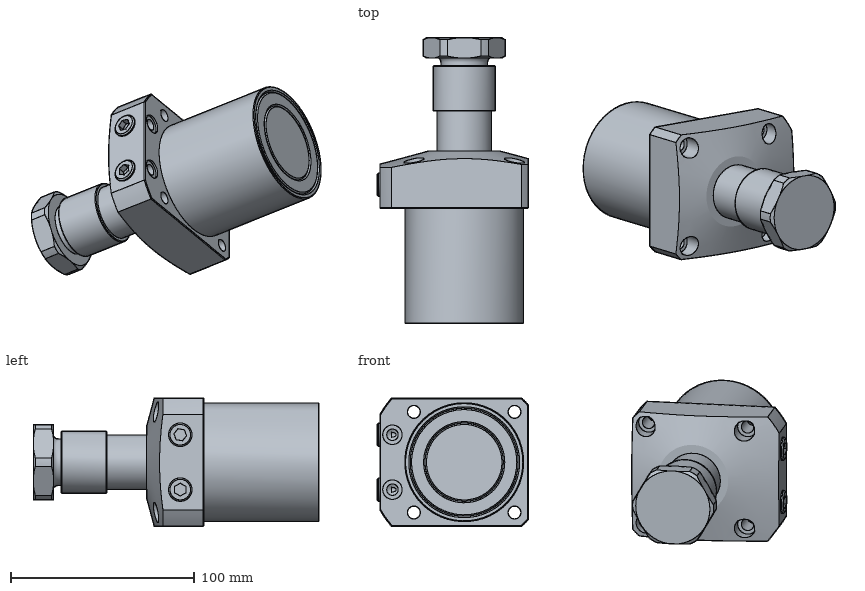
import cadquery as cq
import math

tube_length = 62.9
flange_thickness = 31.4
rod_length = 21.7
collar_length = 25.0
neck_length = 4.0
hex_thickness = 11.0

collar_start = flange_thickness + rod_length
collar_end = collar_start + collar_length
hex_start = collar_end + neck_length
hex_end = hex_start + hex_thickness

overall_width = 82.5
flange_height = 70.0
flange_right = flange_height / 2
flange_left = 46.0
left_corner_radius = 52.9
right_corner_radius = 47.0
flange_chamfer = 0.5
cone_top_radius = 19.5
cone_angle = 15
mounting_hole_offset = 27.5
mounting_hole_radius = 3.5
counterbore_radius = 5.5
counterbore_floor = 17.2

tube_radius = 32.5
tube_chamfer = 0.5
cap_radius = 29.5
cap_thickness = 9.4
disc_radius = 21.4
end_chamfer = 0.8

port_offset = 15.0
port_x = -39.2
port_radius = 3.1
port_depth = 5.5
port_tip_angle = 118
seal_recess_radius = 5.3
seal_recess_depth = 1.1
plug_y = 13.0
passage_radius = 1.7
passage_y = port_depth + 2.3
passage_start = port_x - 0.6

plug_head_radius = 6.4
plug_head_height = overall_width - flange_right - flange_left
plug_head_chamfer = 0.8
plug_shank_radius = 4.7
plug_shank_length = 3.5
plug_socket_width = 6.1
plug_socket_depth = 3.9
upper_socket_turn = -20

rod_radius = 15.0
collar_radius = 17.0
collar_chamfer = 0.5
neck_radius = 12.8
neck_root_radius = 14.0
neck_flare_length = 2.5
hex_width = 41.0
hex_corner_radius = 22.5
hex_end_chamfer = 1.1
hex_chamfer_angle = 30


def disc_along_y(radius, start, end):
    """Cylinder around the Y axis between two Y positions."""
    return cq.Workplane("XZ", origin=(0, start, 0)).circle(radius).extrude(start - end)


def revolved(profile):
    """Solid from a closed (radius, Y) profile turned around the Y axis."""
    return profile.close().revolve(360, (0, 0, 0), (0, 1, 0))


def coned(half_width, base, tip):
    """Cone around Y with its base circle and its tip at the given Y positions."""
    return revolved(cq.Workplane("XY").moveTo(0, base).lineTo(half_width, base).lineTo(0, tip))


def half_round(radius, side):
    """Half of a flange-thick cylinder around Y, on the +X (side 1) or -X (side -1) half."""
    size = 2 * radius
    half_space = cq.Workplane("XY").box(size, size, size).translate((side * radius, 0, 0))
    return disc_along_y(radius, 0, flange_thickness).intersect(half_space)


def flange():
    width = flange_left + flange_right
    block = cq.Workplane("XY").box(width, flange_thickness, flange_height)
    block = block.translate(((flange_right - flange_left) / 2, flange_thickness / 2, 0))
    rounding = half_round(left_corner_radius, -1).union(half_round(right_corner_radius, 1))
    block = block.intersect(rounding)
    block = block.faces("<Y").chamfer(flange_chamfer)
    cone_drop = (left_corner_radius - cone_top_radius) * math.tan(math.radians(cone_angle))
    envelope = revolved(
        cq.Workplane("XY")
        .lineTo(left_corner_radius, 0)
        .lineTo(left_corner_radius, flange_thickness - cone_drop)
        .lineTo(cone_top_radius, flange_thickness)
        .lineTo(0, flange_thickness)
    )
    return block.intersect(envelope)


def oil_port(z):
    """Recessed port with a drilled tip and a cross passage to the rod bore."""
    recess = disc_along_y(seal_recess_radius, 0, seal_recess_depth)
    tip_height = port_radius / math.tan(math.radians(port_tip_angle / 2))
    bore = disc_along_y(port_radius, 0, port_depth).union(
        coned(port_radius, port_depth, port_depth + tip_height)
    )
    passage = (
        cq.Workplane("YZ", origin=(passage_start, passage_y, z))
        .circle(passage_radius)
        .extrude(-passage_start)
    )
    return recess.union(bore).translate((port_x, 0, z)).union(passage)


def plug_shank(z):
    return (
        cq.Workplane("YZ", origin=(-flange_left, plug_y, z))
        .circle(plug_shank_radius)
        .extrude(plug_shank_length)
    )


def end_recess(radius, depth):
    """Round opening in the tube end with a countersunk mouth."""
    bottom = -tube_length + depth
    return revolved(
        cq.Workplane("XY")
        .moveTo(0, -tube_length)
        .lineTo(radius + end_chamfer, -tube_length)
        .lineTo(radius, -tube_length + end_chamfer)
        .lineTo(radius, bottom)
        .lineTo(0, bottom)
    )


def make_housing():
    tube = disc_along_y(tube_radius, -tube_length, 0).faces("<Y").chamfer(tube_chamfer)
    body = flange().union(tube)
    for x in (-mounting_hole_offset, mounting_hole_offset):
        for z in (-mounting_hole_offset, mounting_hole_offset):
            hole = disc_along_y(mounting_hole_radius, 0, flange_thickness)
            hole = hole.union(disc_along_y(counterbore_radius, counterbore_floor, flange_thickness))
            body = body.cut(hole.translate((x, 0, z)))
    for z in (-port_offset, port_offset):
        body = body.cut(oil_port(z)).cut(plug_shank(z))
    body = body.cut(disc_along_y(rod_radius, 0, flange_thickness))
    return body.cut(end_recess(cap_radius, cap_thickness))


def end_plate(radius):
    """Round plate flush with the tube end, chamfered on its outer edge."""
    plate = disc_along_y(radius, -tube_length, cap_thickness - tube_length)
    return plate.faces("<Y").edges().chamfer(end_chamfer)


def make_end_cap():
    return end_plate(cap_radius).cut(end_recess(disc_radius, cap_thickness))


def make_center_disc():
    return end_plate(disc_radius)


def make_rod():
    shaft = disc_along_y(rod_radius, 0, collar_start)
    collar = disc_along_y(collar_radius, collar_start, collar_end)
    collar = collar.faces("<Y or >Y").edges().chamfer(collar_chamfer)
    return shaft.union(collar).cut(disc_along_y(neck_radius, collar_start, collar_end))


def make_bolt():
    flare_start = hex_start - neck_flare_length
    shank = revolved(
        cq.Workplane("XY")
        .moveTo(0, collar_start)
        .lineTo(neck_radius, collar_start)
        .lineTo(neck_radius, flare_start)
        .tangentArcPoint((neck_root_radius, hex_start), relative=False)
        .lineTo(0, hex_start)
    )
    hex_diameter = hex_width / math.cos(math.pi / 6)
    head = cq.Workplane("XZ", origin=(0, hex_start, 0)).polygon(6, hex_diameter).extrude(-hex_thickness)
    bevel_radius = hex_corner_radius - hex_end_chamfer / math.tan(math.radians(hex_chamfer_angle))
    turned = revolved(
        cq.Workplane("XY")
        .moveTo(0, hex_start)
        .lineTo(bevel_radius, hex_start)
        .lineTo(hex_corner_radius, hex_start + hex_end_chamfer)
        .lineTo(hex_corner_radius, hex_end - hex_end_chamfer)
        .lineTo(bevel_radius, hex_end)
        .lineTo(0, hex_end)
    )
    return head.intersect(turned).union(shank)


def make_plug(z, socket_turn):
    head = cq.Workplane("YZ").circle(plug_head_radius).extrude(-plug_head_height)
    head = head.faces("<X").chamfer(plug_head_chamfer)
    socket_diameter = plug_socket_width / math.cos(math.pi / 6)
    socket = cq.Workplane("YZ").polygon(6, socket_diameter).extrude(plug_socket_depth)
    socket = socket.rotate((0, 0, 0), (1, 0, 0), 90 + socket_turn)
    socket = socket.translate((-plug_head_height, 0, 0))
    head = head.translate((-flange_left, plug_y, z))
    return head.union(plug_shank(z)).cut(socket.translate((-flange_left, plug_y, z)))


housing = make_housing()
end_cap = make_end_cap()
center_disc = make_center_disc()
rod = make_rod()
bolt = make_bolt()
plugs = [make_plug(z, turn) for z, turn in ((-port_offset, 0), (port_offset, upper_socket_turn))]

result = cq.Compound.makeCompound(
    [
        housing.val(),
        end_cap.val(),
        center_disc.val(),
        rod.val(),
        bolt.val(),
        *[plug.val() for plug in plugs],
    ]
)